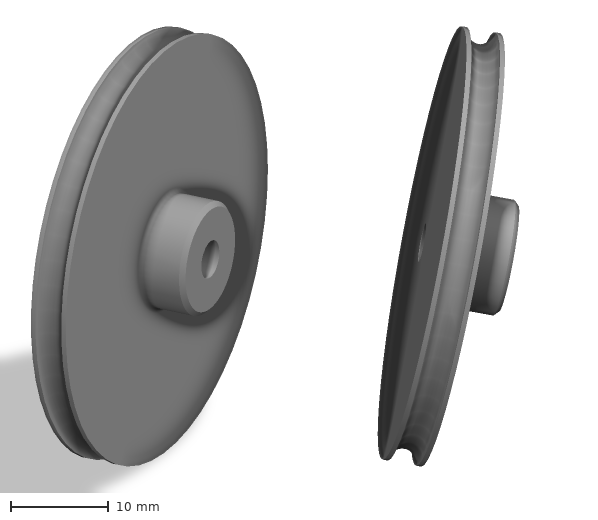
import cadquery as cq

rim_diameter = 45.0
total_length = 9.0
disc_thickness = 4.0
hub_diameter = 12.0
bore_diameter = 4.0
groove_radius = 1.5
hub_edge_break = 0.5
set_screw_diameter = 2.5
set_screw_x = 6.1

rim_radius = rim_diameter / 2
hub_radius = hub_diameter / 2
bore_radius = bore_diameter / 2
groove_center = disc_thickness / 2


def pulley_body():
    """Revolve the half section: grooved disc, filleted hub and through bore."""
    fillet_center = (disc_thickness + hub_edge_break, hub_radius + hub_edge_break)
    fillet_reach = hub_edge_break / 2**0.5
    section = (
        cq.Workplane("XY")
        .moveTo(0, bore_radius)
        .lineTo(0, rim_radius)
        .lineTo(groove_center - groove_radius, rim_radius)
        .threePointArc(
            (groove_center, rim_radius - groove_radius),
            (groove_center + groove_radius, rim_radius),
        )
        .lineTo(disc_thickness, rim_radius)
        .lineTo(disc_thickness, fillet_center[1])
        .threePointArc(
            (fillet_center[0] - fillet_reach, fillet_center[1] - fillet_reach),
            (fillet_center[0], hub_radius),
        )
        .lineTo(total_length - hub_edge_break, hub_radius)
        .lineTo(total_length, hub_radius - hub_edge_break)
        .lineTo(total_length, bore_radius)
        .close()
    )
    return section.revolve(360, (0, 0, 0), (1, 0, 0))


def set_screw_hole():
    """Radial hole from the bore axis out through the +Y side of the hub."""
    return (
        cq.Workplane("XZ")
        .center(set_screw_x, 0)
        .circle(set_screw_diameter / 2)
        .extrude(-rim_radius)
    )


result = pulley_body().cut(set_screw_hole())